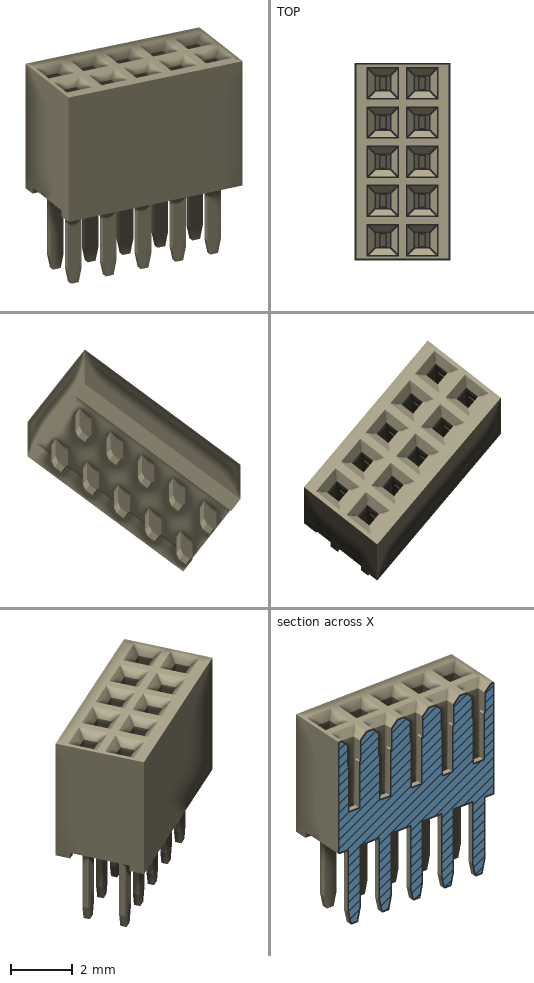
import cadquery as cq


ROWS = 5
COLUMNS = 2
WIDTH = 3.05
LENGTH = 6.35
TOTAL_HEIGHT = 7.0
HOUSING_HEIGHT = 4.4
PITCH = LENGTH / ROWS
FOOT_WIDTH = 0.505
FOOT_HEIGHT = 0.22
HOUSING_BOTTOM = TOTAL_HEIGHT - HOUSING_HEIGHT

WELL_SIDE = 0.5
FUNNEL_DEPTH = 0.25
MOUTH_SIDE = WELL_SIDE + 2 * FUNNEL_DEPTH
WELL_DEPTH = 3.0
WELL_FLOOR = TOTAL_HEIGHT - WELL_DEPTH

BLADE_THICKNESS = 0.22
BLADE_WIDTH = WELL_SIDE
TIP_WIDTH = 0.28
TIP_TAPER_HEIGHT = 0.5
FORK_GAP = 0.42
FORK_TOP_DEPTH = 1.0
FORK_FLOOR_HEIGHT = 0.25
FORK_TOP = TOTAL_HEIGHT - FORK_TOP_DEPTH
FORK_FLOOR = WELL_FLOOR + FORK_FLOOR_HEIGHT
FORK_LEAD_IN = (BLADE_WIDTH - FORK_GAP) / 2


def make_housing():
    """Block with a channel along its underside that leaves a foot on each side."""
    block = cq.Workplane("XY").box(
        WIDTH, LENGTH, HOUSING_HEIGHT, centered=(True, True, False)
    )
    channel = cq.Workplane("XY").box(
        WIDTH - 2 * FOOT_WIDTH, LENGTH, FOOT_HEIGHT, centered=(True, True, False)
    )
    return block.cut(channel).translate((0, 0, HOUSING_BOTTOM))


def make_socket():
    """Cutting solid for one socket, centred on the Z axis."""
    well = (
        cq.Workplane("XY")
        .workplane(offset=WELL_FLOOR)
        .rect(WELL_SIDE, WELL_SIDE)
        .extrude(WELL_DEPTH)
    )
    funnel = (
        cq.Workplane("XY")
        .workplane(offset=TOTAL_HEIGHT - FUNNEL_DEPTH)
        .rect(WELL_SIDE, WELL_SIDE)
        .workplane(offset=FUNNEL_DEPTH)
        .rect(MOUTH_SIDE, MOUTH_SIDE)
        .loft(ruled=True)
    )
    return well.union(funnel)


def make_contact():
    """One forked blade, centred on the Z axis."""
    half_profile = [
        (0, 0),
        (TIP_WIDTH / 2, 0),
        (BLADE_WIDTH / 2, TIP_TAPER_HEIGHT),
        (BLADE_WIDTH / 2, FORK_TOP),
        (FORK_GAP / 2, FORK_TOP - FORK_LEAD_IN),
        (FORK_GAP / 2, FORK_FLOOR),
        (0, FORK_FLOOR),
    ]
    return (
        cq.Workplane("YZ")
        .polyline(half_profile)
        .mirrorY()
        .extrude(BLADE_THICKNESS / 2, both=True)
    )


positions = [
    ((column - (COLUMNS - 1) / 2) * PITCH, (row - (ROWS - 1) / 2) * PITCH, 0)
    for column in range(COLUMNS)
    for row in range(ROWS)
]
socket = make_socket()
contact = make_contact()

result = make_housing()
for position in positions:
    result = result.cut(socket.translate(position))
    result = result.union(contact.translate(position))